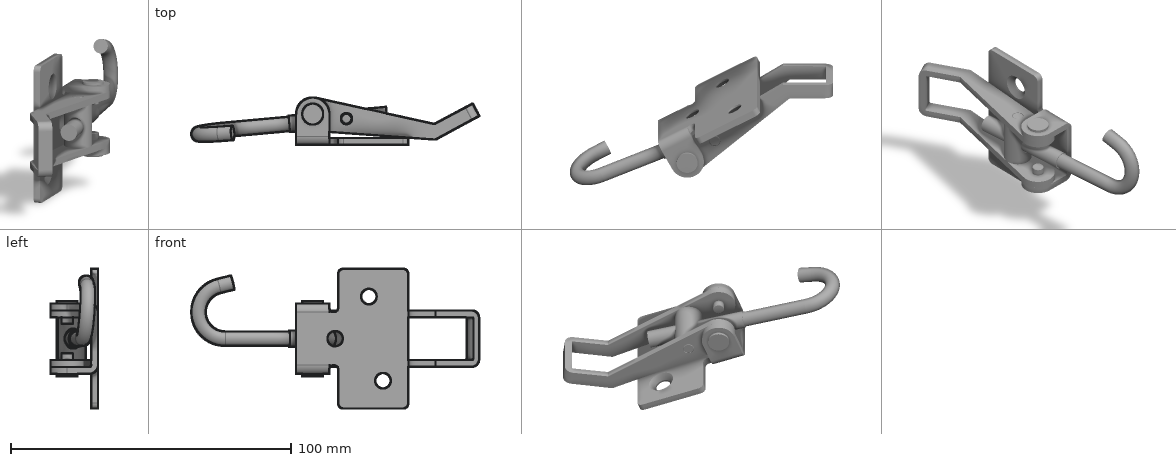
import cadquery as cq
import math


SHEET = 2.5
BEND_INNER_RADIUS = 0.6
BEND_RADIUS = SHEET + BEND_INNER_RADIUS

PIVOT_Y = 11.0
EAR_RADIUS = 6.0
EAR_SPAN = 25.1
PLATE_LEFT = 9.0
PLATE_WIDTH = 25.1
PLATE_HEIGHT = 50.0
PLATE_CORNER_RADIUS = 2.0
SCREW_HOLE_DIAMETER = 5.4
SCREW_HOLE_STRAIGHT_DEPTH = 0.6
SCREW_COUNTERSINK_DIAMETER = SCREW_HOLE_DIAMETER + 2 * (SHEET - SCREW_HOLE_STRAIGHT_DEPTH)
SCREW_HOLES = [(8.0, 0), (20.0, 15.0), (25.1, -15.0)]

LEVER_SPAN = EAR_SPAN - 2 * SHEET
LEVER_GAP = LEVER_SPAN - 2 * SHEET
KNEE_TOP = (43.4, 7.5)
KNEE_BOTTOM = (43.8, 1.9)
GRIP_ANGLE = 28
GRIP_LENGTH = 15.5
GRIP_WIDTH = 5.0
GRIP_OUTER_RADIUS = 3.0
GRIP_INNER_RADIUS = GRIP_OUTER_RADIUS - SHEET

RIVET_HEAD_DIAMETER = 7.5
RIVET_HEAD_HEIGHT = 0.9
SHANK_DIAMETER = 4.0
SHANK_PROTRUSION = 2.5
PIN_CHAMFER = 0.2

BARREL_X = 12.0
BARREL_Y = 9.4
BARREL_DIAMETER = 10.0
BARREL_COUNTERSINK = 0.6
TRUNNION_DIAMETER = 4.0

ROD_TILT = 5.2
HOOK_TWIST = 4
THREAD_DIAMETER = 6.0
THREAD_START = -20.5
THREAD_END = 14.5
ROD_DIAMETER = 5.2
HOOK_START = -43.5
HOOK_RADIUS = 9.6
HOOK_TIP_ANGLE = 14
HOOK_TIP_LENGTH = 5.0


def cylinder(x, y, z_start, z_end, diameter):
    """Upright cylinder between two heights."""
    plane = cq.Workplane("XY", origin=(x, y, z_start))
    return plane.circle(diameter / 2).extrude(z_end - z_start)


def mid_extrude(sketch, span):
    """Extrude an XY outline equally to both sides of Z = 0."""
    return sketch.extrude(span / 2, both=True)


def tangent_point(point, side):
    """Point where the line from `point` touches the lever's round end; side is +1 above, -1 below."""
    dx = point[0]
    dy = point[1] - PIVOT_Y
    direction = math.atan2(dy, dx)
    spread = math.acos(EAR_RADIUS / math.hypot(dx, dy))
    angle = direction + side * spread
    return (EAR_RADIUS * math.cos(angle), PIVOT_Y + EAR_RADIUS * math.sin(angle))


def screw_hole_cutter(x, z):
    """Straight hole opening into a 90-degree countersink on the plate's +Y face."""
    straight_radius = SCREW_HOLE_DIAMETER / 2
    profile = (
        cq.Workplane("XY")
        .lineTo(straight_radius, 0)
        .lineTo(straight_radius, SCREW_HOLE_STRAIGHT_DEPTH)
        .lineTo(SCREW_COUNTERSINK_DIAMETER / 2, SHEET)
        .lineTo(0, SHEET)
        .close()
    )
    return profile.revolve(360, (0, 0, 0), (0, 1, 0)).translate((x, 0, z))


def make_bracket():
    channel = mid_extrude(
        cq.Workplane("XY")
        .moveTo(-EAR_RADIUS, 0)
        .lineTo(EAR_RADIUS, 0)
        .lineTo(EAR_RADIUS, PIVOT_Y)
        .threePointArc((0, PIVOT_Y + EAR_RADIUS), (-EAR_RADIUS, PIVOT_Y))
        .close(),
        EAR_SPAN,
    )
    channel = channel.edges("|X and <Y").fillet(BEND_RADIUS)
    inside = (
        cq.Workplane("XY")
        .box(4 * EAR_RADIUS, 4 * PIVOT_Y, LEVER_SPAN)
        .edges("|X")
        .fillet(BEND_INNER_RADIUS)
        .translate((0, SHEET + 2 * PIVOT_Y, 0))
    )
    channel = channel.cut(inside)

    plate = (
        cq.Workplane("XY")
        .box(PLATE_WIDTH, SHEET, PLATE_HEIGHT)
        .edges("|Y")
        .fillet(PLATE_CORNER_RADIUS)
        .translate((PLATE_LEFT + PLATE_WIDTH / 2, SHEET / 2, 0))
    )

    neck_width = PLATE_LEFT - EAR_RADIUS
    neck_x = EAR_RADIUS + neck_width / 2
    notch_bottom = EAR_SPAN / 2 - BEND_RADIUS
    notch_radius = neck_width / 2
    neck = cq.Workplane("XY").box(neck_width, SHEET, EAR_SPAN - 2 * BEND_RADIUS + neck_width)
    neck = neck.translate((neck_x, SHEET / 2, 0))
    for side in (-1, 1):
        notch = (
            cq.Workplane("XZ", origin=(neck_x, 0, side * (notch_bottom + notch_radius)))
            .circle(notch_radius)
            .extrude(-SHEET)
        )
        neck = neck.cut(notch)

    rivet_holes = cylinder(0, PIVOT_Y, -EAR_SPAN, EAR_SPAN, SHANK_DIAMETER)
    bracket = channel.union(neck).union(plate).cut(rivet_holes)

    for x, z in SCREW_HOLES:
        bracket = bracket.cut(screw_hole_cutter(x, z))
    return bracket


def make_lever():
    cos_grip = math.cos(math.radians(GRIP_ANGLE))
    sin_grip = math.sin(math.radians(GRIP_ANGLE))
    grip_top = (KNEE_TOP[0] + GRIP_LENGTH * cos_grip, KNEE_TOP[1] + GRIP_LENGTH * sin_grip)
    grip_bottom = (grip_top[0] + GRIP_WIDTH * sin_grip, grip_top[1] - GRIP_WIDTH * cos_grip)
    lever = mid_extrude(
        cq.Workplane("XY")
        .moveTo(*tangent_point(KNEE_TOP, 1))
        .threePointArc((-EAR_RADIUS, PIVOT_Y), tangent_point(KNEE_BOTTOM, -1))
        .lineTo(*KNEE_BOTTOM)
        .lineTo(*grip_bottom)
        .lineTo(*grip_top)
        .lineTo(*KNEE_TOP)
        .close(),
        LEVER_SPAN,
    )

    end_face = lever.faces(cq.selectors.DirectionMinMaxSelector(cq.Vector(cos_grip, sin_grip, 0), True))
    lever = end_face.edges("<Z or >Z").fillet(GRIP_OUTER_RADIUS)

    reach = 2 * KNEE_TOP[0]
    space = (
        cq.Workplane("XY")
        .box(reach, reach, LEVER_GAP)
        .edges("|Y and >X")
        .fillet(GRIP_INNER_RADIUS)
        .translate((-reach / 2 - SHEET, 0, 0))
        .rotate((0, 0, 0), (0, 0, 1), GRIP_ANGLE)
        .translate((*grip_top, 0))
    )
    lever = lever.cut(space)

    rivet_holes = cylinder(0, PIVOT_Y, -LEVER_SPAN, LEVER_SPAN, SHANK_DIAMETER)
    trunnion_holes = cylinder(BARREL_X, BARREL_Y, -LEVER_SPAN, LEVER_SPAN, TRUNNION_DIAMETER)
    return lever.cut(rivet_holes).cut(trunnion_holes)


def make_rivet(turn):
    """Rivet through one bracket ear and lever arm; turn is 0 for the upper one, 180 for the lower."""
    head_seat = EAR_SPAN / 2
    shank_end = LEVER_GAP / 2 - SHANK_PROTRUSION
    shank = cylinder(0, PIVOT_Y, shank_end, head_seat, SHANK_DIAMETER).faces("<Z").chamfer(PIN_CHAMFER)
    head = cylinder(0, PIVOT_Y, head_seat, head_seat + RIVET_HEAD_HEIGHT, RIVET_HEAD_DIAMETER)
    return shank.union(head).rotate((0, PIVOT_Y, 0), (1, PIVOT_Y, 0), turn)


def place_on_rod(shape):
    """Move a shape built along X at the origin onto the tilted rod axis through the barrel."""
    tilted = shape.rotate((0, 0, 0), (0, 0, 1), ROD_TILT)
    return tilted.translate((BARREL_X, BARREL_Y, 0))


def make_thread():
    thread = cq.Workplane("YZ", origin=(THREAD_START, 0, 0)).circle(THREAD_DIAMETER / 2)
    return thread.extrude(THREAD_END - THREAD_START)


def make_barrel():
    body = cylinder(BARREL_X, BARREL_Y, -LEVER_GAP / 2, LEVER_GAP / 2, BARREL_DIAMETER)
    trunnions = cylinder(BARREL_X, BARREL_Y, -LEVER_SPAN / 2, LEVER_SPAN / 2, TRUNNION_DIAMETER)
    trunnions = trunnions.faces("<Z or >Z").chamfer(PIN_CHAMFER)
    barrel = body.union(trunnions).cut(place_on_rod(make_thread()))

    mouth = BARREL_DIAMETER / 2
    root_radius = THREAD_DIAMETER / 2
    countersink = (
        cq.Workplane("XY")
        .moveTo(mouth - BARREL_COUNTERSINK, 0)
        .lineTo(mouth, 0)
        .lineTo(mouth, root_radius + BARREL_COUNTERSINK)
        .lineTo(mouth - BARREL_COUNTERSINK, root_radius)
        .close()
        .revolve(360, (0, 0, 0), (1, 0, 0))
    )
    for turn in (0, 180):
        barrel = barrel.cut(place_on_rod(countersink.rotate((0, 0, 0), (0, 0, 1), turn)))
    return barrel


def make_hook():
    tip_angle = math.radians(HOOK_TIP_ANGLE)
    arc_end = (
        HOOK_START - HOOK_RADIUS * math.sin(tip_angle),
        HOOK_RADIUS + HOOK_RADIUS * math.cos(tip_angle),
    )
    tip_end = (
        arc_end[0] + HOOK_TIP_LENGTH * math.cos(tip_angle),
        arc_end[1] + HOOK_TIP_LENGTH * math.sin(tip_angle),
    )
    centre_line = (
        cq.Workplane("XZ")
        .moveTo(THREAD_START, 0)
        .lineTo(HOOK_START, 0)
        .threePointArc((HOOK_START - HOOK_RADIUS, HOOK_RADIUS), arc_end)
        .lineTo(*tip_end)
    )
    rod = cq.Workplane("YZ", origin=(THREAD_START, 0, 0)).circle(ROD_DIAMETER / 2).sweep(centre_line)
    hook = rod.union(make_thread()).rotate((0, 0, 0), (1, 0, 0), HOOK_TWIST)
    return place_on_rod(hook)


bracket = make_bracket()
lever = make_lever()
barrel = make_barrel()
hook = make_hook()
rivets = [make_rivet(turn) for turn in (0, 180)]

result = cq.Compound.makeCompound(
    [bracket.val(), lever.val(), barrel.val(), hook.val(), *[rivet.val() for rivet in rivets]]
)